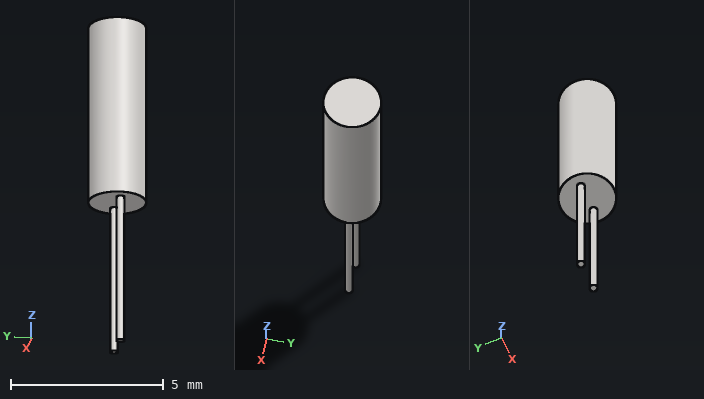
import cadquery as cq

total_height = 11.3

can_diameter = 1.9
can_height = 6.2

lead_diameter = 0.26
lead_pitch = 1.0
lead_length = total_height - can_height


def make_can():
    """Plain cylinder standing on the XY plane."""
    return cq.Workplane("XY").circle(can_diameter / 2).extrude(can_height)


def make_lead(x):
    """Straight round wire hanging down from the can's bottom face."""
    return cq.Workplane("XY").center(x, 0).circle(lead_diameter / 2).extrude(-lead_length)


can = make_can()
leads = [make_lead(side * lead_pitch / 2) for side in (-1, 1)]

result = cq.Compound.makeCompound([can.val(), *[lead.val() for lead in leads]])